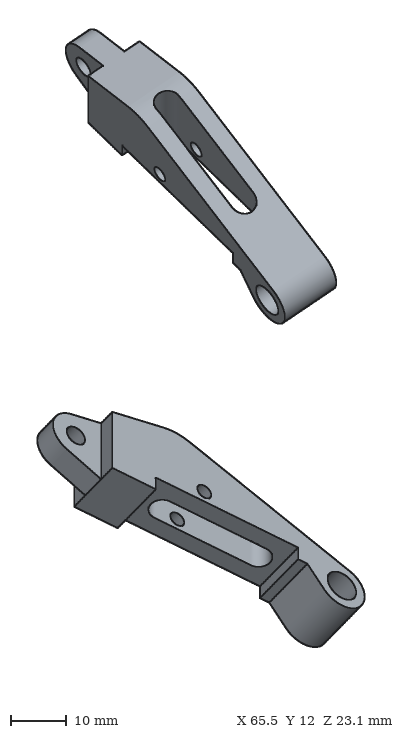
import cadquery as cq
import math

body_width = 12.0
overall_length = 65.5
overall_height = 23.05
tongue_width = 5.0
lug_radius = 5.0
crest_radius = 10.0
crest_center_x = 18.8
tongue_hole_diameter = 4.0
end_hole_diameter = 6.2
pin_hole_diameter = 3.0
pin_hole_x = 25.55
pin_hole_z = -2.5
shoulder_x = 5.5
base_z = -7.9
relief_z = -5.0
relief_start_x = 15.0
relief_end_x = 46.0
base_end_x = 48.0
slot_start_x = 18.1
slot_end_x = 44.0

end_x = overall_length - 2 * lug_radius
end_z = -9.2
crest_z = end_z - lug_radius + overall_height - crest_radius
tongue_center = (0.0, 0.0)
crest_center = (crest_center_x, crest_z)
end_center = (end_x, end_z)


def on_circle(center, radius, angle):
    """Point on a circle at the given angle in radians."""
    return (center[0] + radius * math.cos(angle), center[1] + radius * math.sin(angle))


def upper_tangent_angle(left, left_radius, right, right_radius):
    """Normal angle of the common tangent above two circles."""
    dx = right[0] - left[0]
    dz = right[1] - left[1]
    return math.atan2(dz, dx) + math.acos((left_radius - right_radius) / math.hypot(dx, dz))


def point_tangent_angle(center, radius, point, side):
    """Angle of the tangent point on a circle for a line from an outside point."""
    dx = point[0] - center[0]
    dz = point[1] - center[1]
    return math.atan2(dz, dx) + side * math.acos(radius / math.hypot(dx, dz))


def side_profile():
    """Arm outline in the XZ plane, clockwise from below the tongue lug."""
    base_start = (shoulder_x, base_z)
    base_end = (base_end_x, base_z)
    rise_angle = upper_tangent_angle(tongue_center, lug_radius, crest_center, crest_radius)
    fall_angle = upper_tangent_angle(crest_center, crest_radius, end_center, lug_radius)
    tongue_angle = point_tangent_angle(tongue_center, lug_radius, base_start, -1)
    end_angle = point_tangent_angle(end_center, lug_radius, base_end, 1)
    return (
        cq.Workplane("XZ")
        .moveTo(*on_circle(tongue_center, lug_radius, tongue_angle))
        .threePointArc((-lug_radius, 0), on_circle(tongue_center, lug_radius, rise_angle))
        .lineTo(*on_circle(crest_center, crest_radius, rise_angle))
        .threePointArc(
            on_circle(crest_center, crest_radius, (rise_angle + fall_angle) / 2),
            on_circle(crest_center, crest_radius, fall_angle),
        )
        .lineTo(*on_circle(end_center, lug_radius, fall_angle))
        .threePointArc((end_x + lug_radius, end_z), on_circle(end_center, lug_radius, end_angle))
        .lineTo(*base_end)
        .lineTo(relief_end_x, base_z)
        .lineTo(relief_end_x, relief_z)
        .lineTo(relief_start_x, relief_z)
        .lineTo(relief_start_x, base_z)
        .lineTo(*base_start)
        .close()
    )


def cross_hole(center, diameter):
    """Cutter for a hole through the full width."""
    return (
        cq.Workplane("XZ").center(*center).circle(diameter / 2)
        .extrude(body_width, both=True)
    )


def tongue_cheeks():
    """Cutters on both sides of the tongue, up to the shoulder."""
    cheek_width = (body_width - tongue_width) / 2
    cheek_y = (body_width + tongue_width) / 4
    cheek_length = shoulder_x + lug_radius
    return (
        cq.Workplane("XY")
        .pushPoints([(shoulder_x - cheek_length / 2, side * cheek_y) for side in (-1, 1)])
        .rect(cheek_length, cheek_width)
        .extrude(overall_height, both=True)
    )


def vertical_slot():
    """Cutter for the round-ended slot through the arm."""
    return (
        cq.Workplane("XY")
        .center((slot_start_x + slot_end_x) / 2, 0)
        .slot2D(slot_end_x - slot_start_x, tongue_width)
        .extrude(overall_height, both=True)
    )


result = side_profile().extrude(body_width / 2, both=True)
result = result.cut(tongue_cheeks())
result = result.cut(vertical_slot())
for hole_center, hole_diameter in (
    (tongue_center, tongue_hole_diameter),
    ((pin_hole_x, pin_hole_z), pin_hole_diameter),
    (end_center, end_hole_diameter),
):
    result = result.cut(cross_hole(hole_center, hole_diameter))